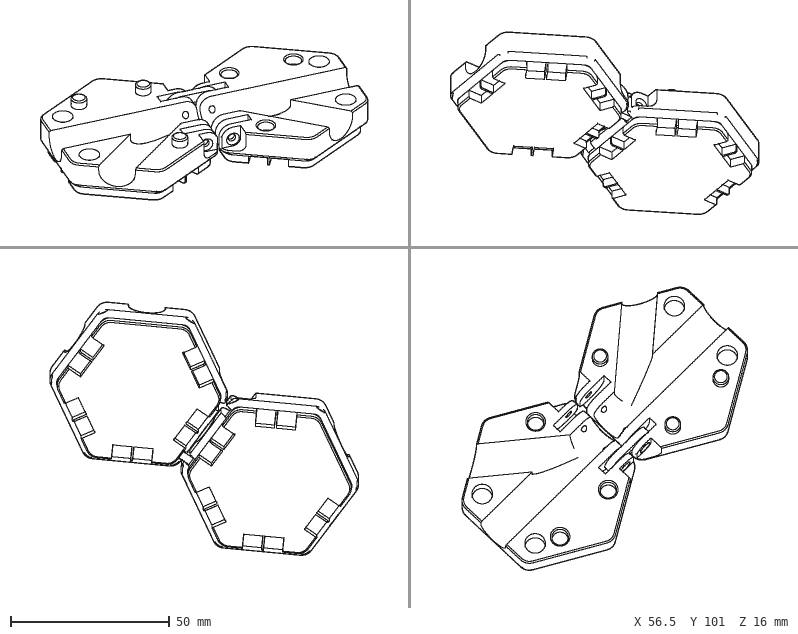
import cadquery as cq
import math


side_count = 6
half_side_angle = math.pi / side_count
apothem = 25.0
corner_radius = 4.0
hinge_gap = 1.0
center_y = apothem + hinge_gap / 2
plate_thickness = 10.0
rim_chamfer = 0.5
under_chamfer = 2.0

tread_height = 3.0
tread_apothem = apothem - under_chamfer
tread_chamfer = 0.5
notch_width = 12.8
notch_depth = 4.9
fin_thickness = 0.6
branch_side = 2

channel_radius = 5.5
channel_axis_depth = 1.8
branch_start_y = center_y - 13.5
channel_length = 3 * apothem
branch_exit_x = apothem * math.cos(half_side_angle)
branch_exit_y = center_y + apothem * math.sin(half_side_angle)
branch_angle = math.degrees(math.atan2(branch_exit_y - branch_start_y, branch_exit_x))

locator_left_x = -15.8
locator_right_x = 16.3
locator_offset_y = 10.9
locators = [
    (locator_left_x, center_y - locator_offset_y),
    (locator_left_x, center_y + locator_offset_y),
    (locator_right_x, center_y - locator_offset_y),
]
pin_diameter = 5.0
pin_height = 3.0
pin_chamfer = 0.5
socket_diameter = 5.2
socket_depth = 3.5
socket_chamfer = 0.5
magnet_diameter = 6.5
magnet_depth = 4.5
magnet_x = 11.7
magnet_offset_y = 18.0
magnets = [(side * magnet_x, center_y + magnet_offset_y) for side in (-1, 1)]

axis_y = 4.5
axis_depth = 4.5
knuckle_radius = axis_y - hinge_gap / 2
knuckle_cut_width = 4 * apothem
hinge_hole_diameter = 2.0
outer_hole_diameter = 2.5
countersink_diameter = 4.3
slot_width = 3.0
slot_x = 10.0
slot_radius = 5.0
slot_arc_y = 6.5
head_recess_x = 13.5
head_recess_radius = 2.6

link_thickness = 2.5
link_radius = 4.5
link_hole_diameter = 2.5


def hexagon(apothem_size, bottom, height):
    """Sharp hexagonal prism with corners on X."""
    across_corners = 2 * apothem_size / math.cos(half_side_angle)
    return cq.Workplane("XY", origin=(0, center_y, bottom)).polygon(side_count, across_corners).extrude(height)


def tread():
    """Thin hexagon below the plate with a finned notch in the middle of each side but the branch side."""
    bottom = -plate_thickness - tread_height
    body = hexagon(tread_apothem, bottom, tread_height)
    body = body.edges("|Z").fillet(corner_radius)
    body = body.faces("<Z").chamfer(tread_chamfer)
    pocket_width = (notch_width - fin_thickness) / 2
    pocket_offset = (notch_width + fin_thickness) / 4
    pockets = (
        cq.Workplane("XY", origin=(0, 0, bottom))
        .pushPoints([(-pocket_offset, -tread_apothem), (pocket_offset, -tread_apothem)])
        .rect(pocket_width, 2 * notch_depth)
        .extrude(tread_height)
    )
    for side in range(side_count):
        if side != branch_side:
            turned = pockets.rotate((0, 0, 0), (0, 0, 1), 360 / side_count * side)
            body = body.cut(turned.translate((0, center_y, 0)))
    return body


def channel(start_y, angle):
    """U-shaped cutter that runs from (0, start_y) at an angle from the X axis."""
    profile = (
        cq.Workplane("XZ")
        .moveTo(-channel_radius, 0)
        .lineTo(-channel_radius, -channel_axis_depth)
        .threePointArc((0, -channel_axis_depth - channel_radius), (channel_radius, -channel_axis_depth))
        .lineTo(channel_radius, 0)
        .close()
    )
    cutter = profile.extrude(-channel_length)
    return cutter.rotate((0, 0, 0), (0, 0, 1), angle - 90).translate((0, start_y, 0))


def cylinder_along_x(diameter, x_start, length):
    """Cylinder on the hinge axis of a half."""
    plane = cq.Workplane("YZ", origin=(x_start, axis_y, -axis_depth))
    return plane.circle(diameter / 2).extrude(length)


def knuckle_cutter():
    """Corner above the rounded hinge edge."""
    block = cq.Workplane("XY").box(knuckle_cut_width, axis_y, knuckle_radius, centered=(True, False, False))
    block = block.translate((0, 0, -knuckle_radius))
    roll = cq.Workplane("YZ", origin=(-knuckle_cut_width / 2, axis_y, -knuckle_radius))
    return block.cut(roll.circle(knuckle_radius).extrude(knuckle_cut_width))


def rounded_pocket(x_start, length, arc_y, radius):
    """Pocket open at the top and at the hinge gap, with a rounded far end centred at arc_y."""
    floor = -axis_depth - radius
    diagonal = radius * math.sqrt(0.5)
    return (
        cq.Workplane("YZ", origin=(x_start, 0, 0))
        .moveTo(0, 0)
        .lineTo(0, floor)
        .lineTo(arc_y, floor)
        .threePointArc((arc_y + diagonal, -axis_depth - diagonal), (arc_y + radius, -axis_depth))
        .lineTo(arc_y + radius, 0)
        .close()
        .extrude(length)
    )


def outer_screw_hole():
    """Countersunk hole through the outer +X hinge lug."""
    hole = cylinder_along_x(outer_hole_diameter, slot_x, head_recess_x - slot_x)
    depth = (countersink_diameter - outer_hole_diameter) / 2
    cone = cq.Solid.makeCone(
        outer_hole_diameter / 2,
        countersink_diameter / 2,
        depth,
        pnt=cq.Vector(head_recess_x - depth, axis_y, -axis_depth),
        dir=cq.Vector(1, 0, 0),
    )
    return hole.union(cq.Workplane(obj=cone))


def half_body():
    """Half without locators, on the +Y side of the hinge."""
    body = hexagon(apothem, -plate_thickness, plate_thickness)
    body = body.faces("<Z").chamfer(under_chamfer)
    body = body.edges("not #Z").fillet(corner_radius)
    body = body.faces(">Z").chamfer(rim_chamfer)
    body = body.union(tread())
    body = body.cut(channel(0, 90))
    body = body.cut(channel(branch_start_y, branch_angle))
    body = body.cut(cq.Workplane("XY").pushPoints(magnets).circle(magnet_diameter / 2).extrude(-magnet_depth))
    body = body.cut(knuckle_cutter())
    body = body.cut(cylinder_along_x(hinge_hole_diameter, -slot_x, 2 * slot_x))
    link_slot = rounded_pocket(slot_x - slot_width / 2, slot_width, slot_arc_y, slot_radius)
    head_recess = rounded_pocket(head_recess_x, apothem, axis_y, head_recess_radius)
    for cutter in (link_slot, head_recess, outer_screw_hole()):
        body = body.cut(cutter).cut(cutter.mirror("YZ"))
    return body


def socket_half():
    """Half with a chamfered socket for each locating pin."""
    sockets = cq.Workplane("XY").pushPoints(locators).circle(socket_diameter / 2).extrude(-socket_depth)
    body = half_body().cut(sockets)
    mouth = (
        cq.Workplane("XY")
        .pushPoints(locators)
        .circle(socket_diameter / 2 + socket_chamfer)
        .extrude(-socket_chamfer, taper=45)
    )
    return body.cut(mouth)


def pin_half():
    """Mirrored half on the -Y side with the locating pins."""
    pins = cq.Workplane("XY").pushPoints(locators).circle(pin_diameter / 2).extrude(pin_height)
    pins = pins.faces(">Z").chamfer(pin_chamfer)
    return half_body().union(pins).mirror("XZ")


def chain_link():
    """Rounded link with one long slot that holds both hinge screws."""
    plane = cq.Workplane("YZ", origin=(-slot_x - link_thickness / 2, 0, -axis_depth))
    body = plane.slot2D(2 * (axis_y + link_radius), 2 * link_radius).extrude(link_thickness)
    opening = plane.slot2D(2 * axis_y + link_hole_diameter, link_hole_diameter).extrude(link_thickness)
    return body.cut(opening)


socket_body = socket_half().solids()
pin_body = pin_half().solids()
link = chain_link().solids()

result = cq.Compound.makeCompound([socket_body.val(), pin_body.val(), link.val()])